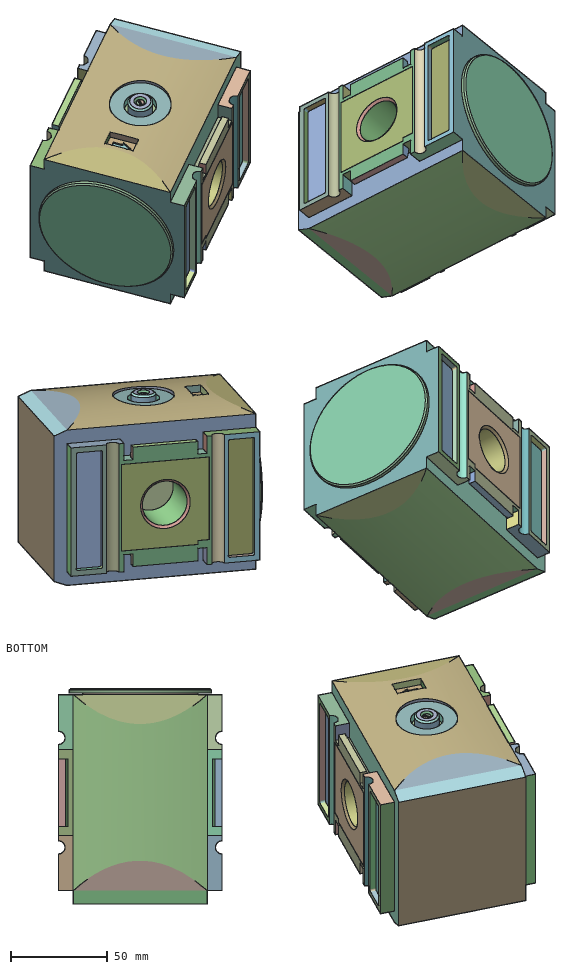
import cadquery as cq
import math

HALF_WIDTH = 42.5
CORE_HALF_WIDTH = 34.8
CORE_HALF_HEIGHT = 42.5
CROWN_HEIGHT = 46.6
CROWN_END_ANGLE = 15.0
BODY_HALF_LENGTH = 51.0
FLANGE_HALF_HEIGHT = 35.0

REAR_END_Y = 57.9
REAR_HALF_HEIGHT = 39.8

NECK_DIAMETER = 60.0
NECK_LENGTH = 0.8
DISC_DIAMETER = 74.0
DISC_THICKNESS = 2.4
DISC_CHAMFER = 0.8

GROOVE_RADIUS = 3.4
GROOVE_OFFSET = 28.5
POCKET_OFFSET = 41.0
POCKET_WIDTH = 14.1
POCKET_HEIGHT = 64.3
POCKET_DEPTH = 3.1
POCKET_CORNER_RADIUS = 0.9

GAP_HALF_LENGTH = 22.4
GAP_FLOOR_Z = 25.8
TAB_HALF_LENGTH = 17.5
TAB_TOP_Z = 32.6
TAB_TOP_THICKNESS = 3.7
TAB_ROOT_THICKNESS = 5.0

PORT_DIAMETER = 24.1
PORT_MOUTH_DIAMETER = 26.8
PORT_DEPTH = 28.0
SEAT_SIDE = 47.3
SEAT_DEPTH = 0.1
SEAT_KEY_LENGTH = SEAT_SIDE / 2 - TAB_HALF_LENGTH
SEAT_KEY_HEIGHT = 2.1

DISH_DIAMETER = 32.0
DISH_FLOOR_Z = 44.8
WELL_DIAMETER = 16.8
WELL_DEPTH = 4.5
STEM_DIAMETER = 13.0
STEM_TOP_Z = 47.9
STEM_CHAMFER = 1.0
BORE_DIAMETER = 4.5
BORE_MOUTH_DIAMETER = 6.5
BORE_DEPTH = 2.2
SCREW_DIAMETER = 4.0
SCREW_HEIGHT = 1.2
SCREW_SLOT_WIDTH = 0.9
SCREW_SLOT_DEPTH = 0.9

WINDOW_Y = -28.8
WINDOW_LENGTH = 15.7
WINDOW_WIDTH = 8.5
WINDOW_DEPTH = 4.0
ARROW_DEPTH = 0.9
ARROW_HALF_LENGTH = 5.0
ARROW_SHAFT_HALF_WIDTH = 1.5
ARROW_HEAD_HALF_WIDTH = 2.9

SIDES = (-1, 1)


def box(x_range, y_range, z_range):
    """Axis-aligned box between the given pairs of limits."""
    sizes = [limits[1] - limits[0] for limits in (x_range, y_range, z_range)]
    corner = (x_range[0], y_range[0], z_range[0])
    return cq.Workplane("XY").box(*sizes, centered=False).translate(corner)


def disc(diameter, bottom_z, top_z):
    """Upright cylinder on the stem axis."""
    return cq.Workplane("XY").workplane(offset=bottom_z).circle(diameter / 2).extrude(top_z - bottom_z)


def both_sides(left_solid):
    """A solid on the -X side together with its mirror image on the +X side."""
    return left_solid.union(left_solid.mirror("YZ"))


def make_core():
    """Crowned bar, sloped at both crown ends and tapered at the rear."""
    w, h = CORE_HALF_WIDTH, CORE_HALF_HEIGHT
    crowned_bar = (
        cq.Workplane("XZ", origin=(0, REAR_END_Y, 0))
        .moveTo(-w, -h)
        .threePointArc((0, -CROWN_HEIGHT), (w, -h))
        .lineTo(w, h)
        .threePointArc((0, CROWN_HEIGHT), (-w, h))
        .close()
        .extrude(REAR_END_Y + BODY_HALF_LENGTH)
    )
    ridge_z = h + BODY_HALF_LENGTH * math.tan(math.radians(CROWN_END_ANGLE))
    side_outline = [
        (-BODY_HALF_LENGTH, h),
        (0, ridge_z),
        (BODY_HALF_LENGTH, h),
        (REAR_END_Y, REAR_HALF_HEIGHT),
        (REAR_END_Y, -REAR_HALF_HEIGHT),
        (BODY_HALF_LENGTH, -h),
        (0, -ridge_z),
        (-BODY_HALF_LENGTH, -h),
    ]
    return crowned_bar.intersect(cq.Workplane("YZ").polyline(side_outline).close().extrude(w, both=True))


def make_flanges():
    """Side flanges, joined into one slab running through the core."""
    return cq.Workplane("XY").box(2 * HALF_WIDTH, 2 * BODY_HALF_LENGTH, 2 * FLANGE_HALF_HEIGHT)


def make_edge_gap():
    """Gap in the upper edge of the -X flange, leaving the undercut tab."""
    gap = box(
        (-HALF_WIDTH, -CORE_HALF_WIDTH),
        (-GAP_HALF_LENGTH, GAP_HALF_LENGTH),
        (GAP_FLOOR_Z, FLANGE_HALF_HEIGHT),
    )
    tab = (
        cq.Workplane("XZ")
        .polyline([
            (-HALF_WIDTH, GAP_FLOOR_Z),
            (-HALF_WIDTH, TAB_TOP_Z),
            (-HALF_WIDTH + TAB_TOP_THICKNESS, TAB_TOP_Z),
            (-HALF_WIDTH + TAB_ROOT_THICKNESS, GAP_FLOOR_Z),
        ])
        .close()
        .extrude(TAB_HALF_LENGTH, both=True)
    )
    return gap.cut(tab)


def make_side_cuts():
    """Edge gaps, grooves and pockets of both side faces."""
    gap = make_edge_gap()
    cuts = gap.union(gap.mirror("XY"))
    for side in SIDES:
        groove = (
            cq.Workplane("XY", origin=(-HALF_WIDTH, side * GROOVE_OFFSET, 0))
            .circle(GROOVE_RADIUS)
            .extrude(FLANGE_HALF_HEIGHT, both=True)
        )
        pocket = (
            cq.Workplane("XY")
            .box(POCKET_DEPTH, POCKET_WIDTH, POCKET_HEIGHT)
            .edges("|X")
            .fillet(POCKET_CORNER_RADIUS)
            .translate((-HALF_WIDTH + POCKET_DEPTH / 2, side * POCKET_OFFSET, 0))
        )
        cuts = cuts.union(groove).union(pocket)
    return both_sides(cuts)


def make_ports():
    """Blind port with a chamfered mouth and a keyed square recess, on both sides."""
    half = SEAT_SIDE / 2
    seat_face_x = -HALF_WIDTH + SEAT_DEPTH
    seat = box((-HALF_WIDTH, seat_face_x), (-half, half), (-half, half))
    key = box(
        (-HALF_WIDTH, seat_face_x),
        (-half, -half + SEAT_KEY_LENGTH),
        (-half, -half + SEAT_KEY_HEIGHT),
    )
    radius = PORT_DIAMETER / 2
    mouth_radius = PORT_MOUTH_DIAMETER / 2
    bore_profile = [
        (-HALF_WIDTH, 0),
        (-HALF_WIDTH, mouth_radius),
        (seat_face_x, mouth_radius),
        (seat_face_x + mouth_radius - radius, radius),
        (-HALF_WIDTH + PORT_DEPTH, radius),
        (-HALF_WIDTH + PORT_DEPTH, 0),
    ]
    bore = cq.Workplane("XY").polyline(bore_profile).close().revolve(360, (0, 0, 0), (1, 0, 0))
    return both_sides(seat.cut(key).union(bore))


def make_front_disc():
    """Round plate standing on a smaller neck on the front face."""
    return (
        cq.Workplane("XZ", origin=(0, -BODY_HALF_LENGTH, 0))
        .circle(NECK_DIAMETER / 2)
        .extrude(NECK_LENGTH)
        .faces("<Y")
        .workplane()
        .circle(DISC_DIAMETER / 2)
        .extrude(DISC_THICKNESS)
        .faces("<Y")
        .chamfer(DISC_CHAMFER)
    )


def make_stem():
    """Stem with a countersunk bore that holds a slotted screw."""
    stem = disc(STEM_DIAMETER, DISH_FLOOR_Z - WELL_DEPTH, STEM_TOP_Z).faces(">Z").chamfer(STEM_CHAMFER)
    bore_floor_z = STEM_TOP_Z - BORE_DEPTH
    screw_top_z = bore_floor_z + SCREW_HEIGHT
    bore = disc(BORE_DIAMETER, bore_floor_z, STEM_TOP_Z)
    countersink_depth = (BORE_MOUTH_DIAMETER - BORE_DIAMETER) / 2
    countersink = cq.Workplane(
        cq.Solid.makeCone(
            BORE_DIAMETER / 2,
            BORE_MOUTH_DIAMETER / 2,
            countersink_depth,
            pnt=cq.Vector(0, 0, STEM_TOP_Z - countersink_depth),
        )
    )
    slot = (
        cq.Workplane("XY")
        .box(SCREW_DIAMETER, SCREW_SLOT_WIDTH, 2 * SCREW_SLOT_DEPTH)
        .rotate((0, 0, 0), (0, 0, 1), -45)
        .translate((0, 0, screw_top_z))
    )
    screw = disc(SCREW_DIAMETER, bore_floor_z, screw_top_z).cut(slot)
    return stem.cut(bore).cut(countersink).union(screw)


def make_arrow_window():
    """Rectangular window with an arrow sunk into its floor, pointing to +X."""
    floor_z = CROWN_HEIGHT - WINDOW_DEPTH
    half_length, half_width = WINDOW_LENGTH / 2, WINDOW_WIDTH / 2
    window = box(
        (-half_length, half_length),
        (WINDOW_Y - half_width, WINDOW_Y + half_width),
        (floor_z, STEM_TOP_Z),
    )
    arrow = (
        cq.Workplane("XY", origin=(0, WINDOW_Y, floor_z))
        .polyline([
            (-ARROW_HALF_LENGTH, -ARROW_SHAFT_HALF_WIDTH),
            (0, -ARROW_SHAFT_HALF_WIDTH),
            (0, -ARROW_HEAD_HALF_WIDTH),
            (ARROW_HALF_LENGTH, 0),
            (0, ARROW_HEAD_HALF_WIDTH),
            (0, ARROW_SHAFT_HALF_WIDTH),
            (-ARROW_HALF_LENGTH, ARROW_SHAFT_HALF_WIDTH),
        ])
        .close()
        .extrude(-ARROW_DEPTH)
    )
    return window.union(arrow)


result = (
    make_core()
    .union(make_flanges())
    .cut(make_side_cuts())
    .cut(make_ports())
    .cut(disc(DISH_DIAMETER, DISH_FLOOR_Z, STEM_TOP_Z))
    .cut(disc(WELL_DIAMETER, DISH_FLOOR_Z - WELL_DEPTH, STEM_TOP_Z))
    .cut(make_arrow_window())
    .union(make_front_disc())
    .union(make_stem())
)